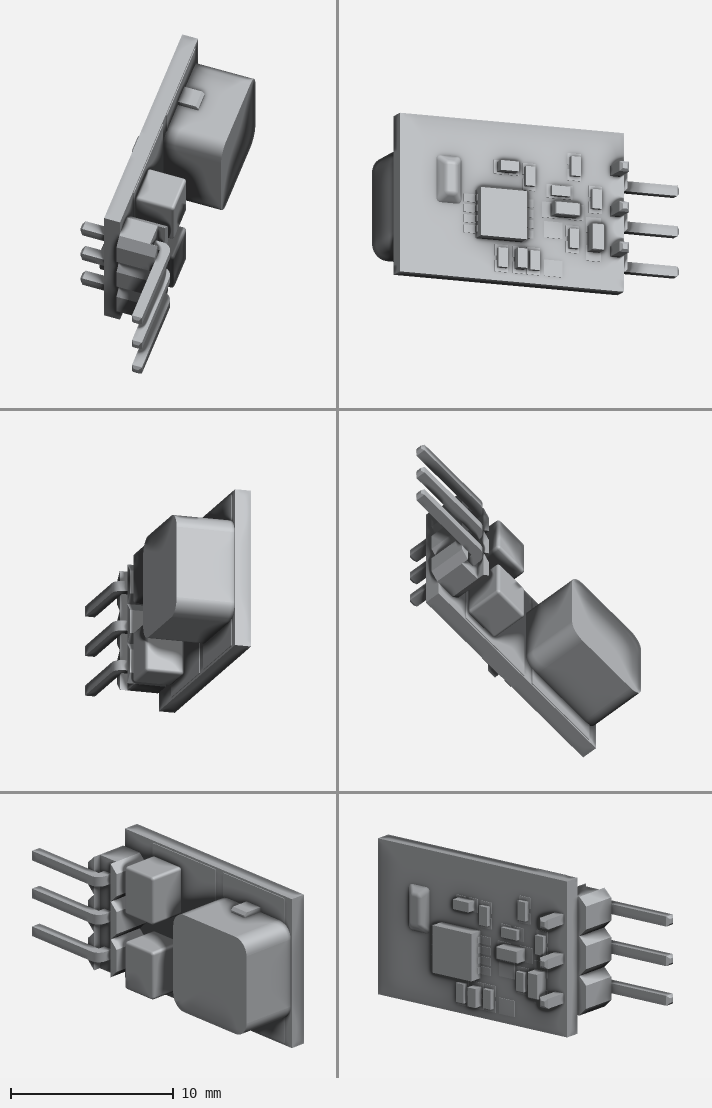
import cadquery as cq
import math


BOARD_THICKNESS = 1.03
BOARD_LENGTH = 14.87
BOARD_WIDTH = 10.0
RAIL_WIDTH = 0.2
COPPER = 0.05

VIA_DIAMETER = 0.31
VIA_PITCH = 0.595
VIA_GRIDS = [
    (5.46, 4.43, 4, 2),
    (10.28, 1.17, 3, 2),
    (12.29, -0.65, 3, 1),
    (4.92, -4.41, 2, 1),
    (3.22, 0.13, 2, 1),
]

SMALL_CHIP = dict(length=1.22, width=0.62, pad_length=1.71, pad_width=0.87, gap=0.29, edge=0)
LARGE_CHIP = dict(length=1.63, width=0.79, pad_length=2.75, pad_width=0.99, gap=0.77, edge=0.04)
LOW = 0.36
MEDIUM = 0.67
TALL = 0.86
CHIPS = [
    (7.84, 2.13, True, MEDIUM, SMALL_CHIP),
    (6.33, 1.68, False, LOW, SMALL_CHIP),
    (3.32, 2.56, False, LOW, SMALL_CHIP),
    (4.3, 0.92, True, LOW, SMALL_CHIP),
    (1.92, 0.62, False, LOW, SMALL_CHIP),
    (3.43, -2.0, False, LOW, SMALL_CHIP),
    (8.15, -3.6, False, LOW, SMALL_CHIP),
    (6.99, -3.6, False, MEDIUM, SMALL_CHIP),
    (6.03, -3.6, False, LOW, SMALL_CHIP),
    (4.07, -0.28, True, TALL, LARGE_CHIP),
    (2.04, -1.88, False, TALL, LARGE_CHIP),
]
TEST_PAD_SIZE = (1.23, 1.03)
TEST_PADS = [(4.7, -1.52), (4.7, -3.94)]

IC_CENTER = (8.33, -0.95)
IC_SIZE = 3.04
IC_HEIGHT = 0.9
LEAD_PITCH = 0.65
LEADS_PER_SIDE = 4
LEAD_WIDTH = 0.4
LEAD_HEIGHT = 0.33
LEAD_PROJECTION = 0.05
LEAD_PAD_LENGTH = 0.79
LEAD_PAD_WIDTH = 0.5

LENS_CENTER = (11.62, 1.09)
LENS_LENGTH = 2.98
LENS_WIDTH = 1.65
LENS_HEIGHT = 0.48
LENS_DRAFT = 45
LENS_ROUND = 0.4

INDUCTOR_CENTER = (11.5, 0.01)
INDUCTOR_SIZE = 6.52
INDUCTOR_HEIGHT = 3.75
INDUCTOR_ROUND = 1.0
INDUCTOR_PAD = (11.5, 5.4)

CAPACITOR_Y = 3.91
CAPACITOR_LENGTH = 2.54
CAPACITOR_WIDTH = 3.2
CAPACITOR_TOP = 2.58
CAPACITOR_ROUND = 0.2
CAPACITOR_Z = (2.49, -2.54)
CAPACITOR_PAD = (5.3, 5.55)
BACK_PAD_WIDTH = 9.7

BLOCK_Y = 11.5
BLOCK_LENGTH = 1.22
BLOCK_HEIGHT = 1.37
BLOCK_TOP_Z = 3.6
BLOCK_CHAMFER = 0.18

PIN_PITCH = 2.54
PIN_COUNT = 3
PIN_Y = 0.6
PIN_SIZE = 0.64
PIN_TIP_BEVEL = 0.16
PIN_TAIL = 1.67
OVERALL_LENGTH = 20.02
PIN_END_Y = BOARD_LENGTH - OVERALL_LENGTH
HOLE_LENGTH = 1.22
HEADER_DEPTH = 2.54
HEADER_HEIGHT = 2.48
HEADER_CHAMFER = 0.53
CHANNEL_DEPTH = 0.48
CHANNEL_WIDTH = 1.45

PIN_ROWS = [PIN_PITCH * (i - (PIN_COUNT - 1) / 2) for i in range(PIN_COUNT)]


def block(x_start, x_end, y, z, length, width):
    """Box from x_start to x_end, centred at (y, z), length along Y and width along Z."""
    return (
        cq.Workplane("XY")
        .box(x_end - x_start, length, width)
        .translate(((x_start + x_end) / 2, y, z))
    )


def join(parts):
    """Fuse a list of bodies, keeping the seams between them."""
    body = parts[0]
    for part in parts[1:]:
        body = body.union(part, clean=False)
    return body


def make_hole_fillings():
    """Solid plugs that fill the vias and the slotted pin holes flush with the board."""
    via_places = [
        (y - i * VIA_PITCH, z - j * VIA_PITCH)
        for y, z, columns, rows in VIA_GRIDS
        for i in range(columns)
        for j in range(rows)
    ]
    vias = (
        cq.Workplane("YZ")
        .pushPoints(via_places)
        .circle(VIA_DIAMETER / 2)
        .extrude(BOARD_THICKNESS)
    )
    slots = (
        cq.Workplane("YZ")
        .pushPoints([(PIN_Y, z) for z in PIN_ROWS])
        .slot2D(HOLE_LENGTH, PIN_SIZE, 90)
        .extrude(BOARD_THICKNESS)
    )
    return [vias, slots]


def make_board():
    """Board in three strips along Y, with its filled holes."""
    middle_width = BOARD_WIDTH - 2 * RAIL_WIDTH
    rail_z = (BOARD_WIDTH - RAIL_WIDTH) / 2
    strips = [
        block(0, BOARD_THICKNESS, BOARD_LENGTH / 2, z, BOARD_LENGTH, width)
        for z, width in ((0, middle_width), (rail_z, RAIL_WIDTH), (-rail_z, RAIL_WIDTH))
    ]
    return join(strips + make_hole_fillings())


def make_chip(y, z, along_y, height, size):
    """Two-terminal chip on its pair of pads."""
    pad = (size["pad_length"] - size["gap"]) / 2
    pad_offset = (size["pad_length"] - pad) / 2
    body = block(-height, 0, 0, 0, size["length"], size["width"])
    if size["edge"]:
        body = body.faces("<X").edges().chamfer(size["edge"])
    parts = [body]
    for side in (-1, 1):
        parts.append(block(-COPPER, 0, side * pad_offset, 0, pad, size["pad_width"]))
    chip = join(parts)
    if not along_y:
        chip = chip.rotate((0, 0, 0), (1, 0, 0), 90)
    return chip.translate((0, y, z))


def make_ic():
    """Controller package with a row of leads and pads on both Y sides."""
    y, z = IC_CENTER
    parts = [block(-IC_HEIGHT, 0, y, z, IC_SIZE, IC_SIZE)]
    pad_y = (IC_SIZE + LEAD_PAD_LENGTH) / 2
    lead_y = (IC_SIZE + LEAD_PROJECTION) / 2
    for i in range(LEADS_PER_SIDE):
        lead_z = z + LEAD_PITCH * (i - (LEADS_PER_SIDE - 1) / 2)
        for side in (-1, 1):
            parts.append(block(-COPPER, 0, y + side * pad_y, lead_z, LEAD_PAD_LENGTH, LEAD_PAD_WIDTH))
            parts.append(block(-LEAD_HEIGHT, 0, y + side * lead_y, lead_z, LEAD_PROJECTION, LEAD_WIDTH))
    return join(parts)


def make_lens():
    """Tapered lens with rounded edges, over a rectangular window filled flush with the board."""
    y, z = LENS_CENTER
    window = block(0, BOARD_THICKNESS, y, z, LENS_WIDTH, LENS_LENGTH)
    lens = (
        cq.Workplane("YZ", origin=(0, y, z))
        .rect(LENS_WIDTH, LENS_LENGTH)
        .extrude(-LENS_HEIGHT, taper=LENS_DRAFT)
        .edges("not(>X)")
        .fillet(LENS_ROUND)
    )
    return join([window, lens])


def make_inductor():
    """Square power inductor with rounded upright edges, on its pad."""
    y, z = INDUCTOR_CENTER
    top = BOARD_THICKNESS + INDUCTOR_HEIGHT
    body = block(BOARD_THICKNESS, top, y, z, INDUCTOR_SIZE, INDUCTOR_SIZE)
    body = body.edges("|X").fillet(INDUCTOR_ROUND)
    return join([body, make_back_pad(*INDUCTOR_PAD)])


def make_back_pad(y, length):
    """Wide copper area on the +X face."""
    return block(BOARD_THICKNESS, BOARD_THICKNESS + COPPER, y, 0, length, BACK_PAD_WIDTH)


def make_capacitors():
    """Pair of block capacitors, rounded all over, on a shared pad."""
    bottom = BOARD_THICKNESS + COPPER
    top = BOARD_THICKNESS + CAPACITOR_TOP
    parts = [make_back_pad(*CAPACITOR_PAD)]
    for z in CAPACITOR_Z:
        body = block(bottom, top, CAPACITOR_Y, z, CAPACITOR_LENGTH, CAPACITOR_WIDTH)
        parts.append(body.edges().fillet(CAPACITOR_ROUND))
    return join(parts)


def make_side_block():
    """Small part beside the inductor, bevelled at its outer edge."""
    inner_z = INDUCTOR_SIZE / 2
    width = BLOCK_TOP_Z - inner_z
    center_z = inner_z + width / 2
    top = BOARD_THICKNESS + BLOCK_HEIGHT
    body = block(BOARD_THICKNESS, top, BLOCK_Y, center_z, BLOCK_LENGTH, width)
    return body.faces(">X").edges(">Z").chamfer(BLOCK_CHAMFER)


def make_header():
    """Row of octagonal housings with a channel along the row in the +X face."""
    top = BOARD_THICKNESS + HEADER_HEIGHT
    parts = []
    for z in PIN_ROWS:
        housing = block(BOARD_THICKNESS, top, PIN_Y, z, HEADER_DEPTH, PIN_PITCH)
        parts.append(housing.edges("|X").chamfer(HEADER_CHAMFER))
    channel = block(top - CHANNEL_DEPTH, top, PIN_Y, 0, CHANNEL_WIDTH, PIN_COUNT * PIN_PITCH)
    return join(parts).cut(channel, clean=False)


def make_pin(z):
    """Square right-angle pin: along X through the board, then bent towards -Y."""
    inner_x = BOARD_THICKNESS + HEADER_HEIGHT
    outer_x = inner_x + PIN_SIZE
    half = PIN_SIZE / 2
    bend_mid = PIN_SIZE * math.sqrt(0.5)
    pin = (
        cq.Workplane("XY", origin=(0, 0, z - half))
        .moveTo(-PIN_TAIL, PIN_Y - half)
        .lineTo(inner_x, PIN_Y - half)
        .lineTo(inner_x, PIN_END_Y)
        .lineTo(outer_x, PIN_END_Y)
        .lineTo(outer_x, PIN_Y - half)
        .threePointArc((inner_x + bend_mid, PIN_Y - half + bend_mid), (inner_x, PIN_Y + half))
        .lineTo(-PIN_TAIL, PIN_Y + half)
        .close()
        .extrude(PIN_SIZE)
    )
    for end in ("<X", "<Y"):
        pin = pin.faces(end).chamfer(PIN_TIP_BEVEL)
    return pin


def make_front_parts():
    """Everything on the -X face."""
    parts = [make_chip(*chip) for chip in CHIPS]
    parts += [block(-COPPER, 0, y, z, *TEST_PAD_SIZE) for y, z in TEST_PADS]
    return parts + [make_ic(), make_lens()]


def make_back_parts():
    """Everything on the +X face."""
    parts = [make_inductor(), make_capacitors(), make_side_block(), make_header()]
    return parts + [make_pin(z) for z in PIN_ROWS]


result = join([make_board()] + make_front_parts() + make_back_parts())